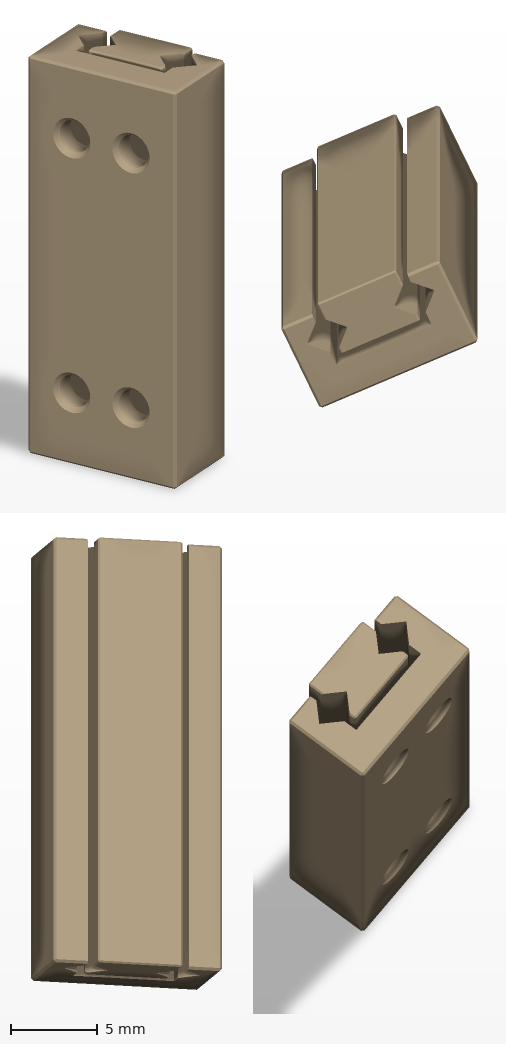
import cadquery as cq

CARRIAGE_WIDTH = 10
CARRIAGE_DEPTH = 5.5
LENGTH = 25
CARRIAGE_CHAMFER = 0.15
FLOOR_THICKNESS = 2.08
CHANNEL_WIDTH = 6

RAIL_WIDTH = 5
RAIL_PROUD = 0.5
RAIL_GAP = 0.48
RAIL_CHAMFER = 0.1

RACEWAY_Y = 3.98
GROOVE_DEPTH = 1.02

HOLE_DIAMETER = 2
HOLE_RIM_DIAMETER = 2.5
HOLE_RIM_DEPTH = 0.32
HOLE_DEPTH = 1.5
HOLE_SPACING_X = 4
HOLE_SPACING_Z = 16

rail_bottom_y = FLOOR_THICKNESS + RAIL_GAP
rail_top_y = CARRIAGE_DEPTH + RAIL_PROUD


def box_along_z(width, y_start, y_end):
    """Full-length block centred on X and Z between two Y levels."""
    return (
        cq.Workplane("XY")
        .box(width, y_end - y_start, LENGTH)
        .translate((0, (y_start + y_end) / 2, 0))
    )


def raceway_cutter(x_center):
    """Full-length square prism, standing on its corner, that cuts a V groove with 90 degree flanks."""
    return (
        cq.Workplane("XY")
        .center(x_center, RACEWAY_Y)
        .polyline([(-GROOVE_DEPTH, 0), (0, -GROOVE_DEPTH), (GROOVE_DEPTH, 0), (0, GROOVE_DEPTH)])
        .close()
        .extrude(LENGTH / 2, both=True)
    )


def mounting_hole(x_center, z_center):
    """Blind hole with a chamfered rim, sunk from the Y = 0 face, as a cutting tool."""
    return (
        cq.Workplane("XY")
        .polyline([
            (0, 0),
            (HOLE_RIM_DIAMETER / 2, 0),
            (HOLE_DIAMETER / 2, HOLE_RIM_DEPTH),
            (HOLE_DIAMETER / 2, HOLE_DEPTH),
            (0, HOLE_DEPTH),
        ])
        .close()
        .revolve(360, (0, 0), (0, 1))
        .translate((x_center, 0, z_center))
    )


def make_carriage():
    carriage = box_along_z(CARRIAGE_WIDTH, 0, CARRIAGE_DEPTH).edges().chamfer(CARRIAGE_CHAMFER)
    carriage = carriage.cut(box_along_z(CHANNEL_WIDTH, FLOOR_THICKNESS, CARRIAGE_DEPTH))
    for side in (-1, 1):
        carriage = carriage.cut(raceway_cutter(side * CHANNEL_WIDTH / 2))
    for x_side in (-1, 1):
        for z_side in (-1, 1):
            carriage = carriage.cut(mounting_hole(x_side * HOLE_SPACING_X / 2, z_side * HOLE_SPACING_Z / 2))
    return carriage


def make_rail():
    rail = box_along_z(RAIL_WIDTH, rail_bottom_y, rail_top_y).edges().chamfer(RAIL_CHAMFER)
    for side in (-1, 1):
        rail = rail.cut(raceway_cutter(side * RAIL_WIDTH / 2))
    return rail


carriage = make_carriage()
rail = make_rail()

result = cq.Compound.makeCompound([carriage.val(), rail.val()])